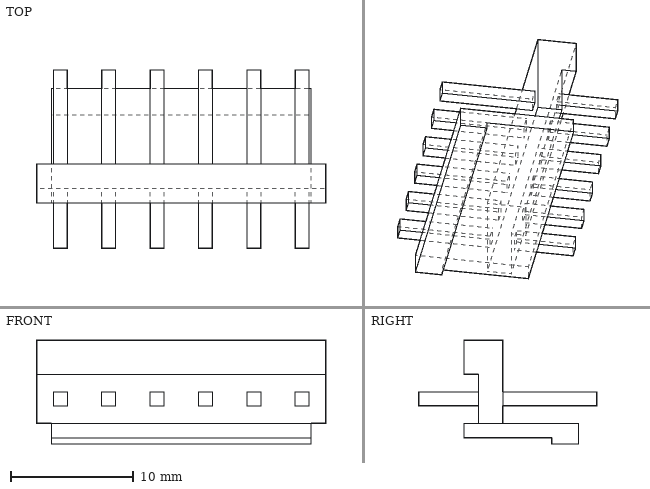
import cadquery as cq

pin_count = 6
pin_pitch = 3.96
pin_size = 1.14
pin_length = 14.6
pin_front_reach = 4.9

housing_length = 23.7
wall_thickness = 2.0
head_depth = 3.2
head_height = 2.8
housing_height = 6.8
wall_bottom = -2.0

plate_length = 21.25
plate_depth = 9.4
plate_thickness = 1.2
lip_depth = 2.2
lip_drop = 0.5

head_front = wall_thickness - head_depth
wall_top = wall_bottom + housing_height
head_bottom = wall_top - head_height
plate_front = head_front
plate_rear = plate_front + plate_depth
plate_bottom = wall_bottom - plate_thickness
lip_front = plate_rear - lip_depth
lip_bottom = plate_bottom - lip_drop


def extrude_profile(points, length):
    """Extrude a closed YZ outline along X, centred on X = 0."""
    return cq.Workplane("YZ").polyline(points).close().extrude(length / 2, both=True)


def make_housing():
    outline = [
        (0, wall_bottom),
        (wall_thickness, wall_bottom),
        (wall_thickness, wall_top),
        (head_front, wall_top),
        (head_front, head_bottom),
        (0, head_bottom),
    ]
    return extrude_profile(outline, housing_length)


def make_plate():
    outline = [
        (plate_front, wall_bottom),
        (plate_rear, wall_bottom),
        (plate_rear, lip_bottom),
        (lip_front, lip_bottom),
        (lip_front, plate_bottom),
        (plate_front, plate_bottom),
    ]
    return extrude_profile(outline, plate_length)


def make_pin(x):
    pin_centre_y = pin_length / 2 - pin_front_reach
    return cq.Workplane("XY").box(pin_size, pin_length, pin_size).translate((x, pin_centre_y, 0))


result = make_housing().union(make_plate())
first_pin_x = -pin_pitch * (pin_count - 1) / 2
for index in range(pin_count):
    result = result.union(make_pin(first_pin_x + index * pin_pitch))